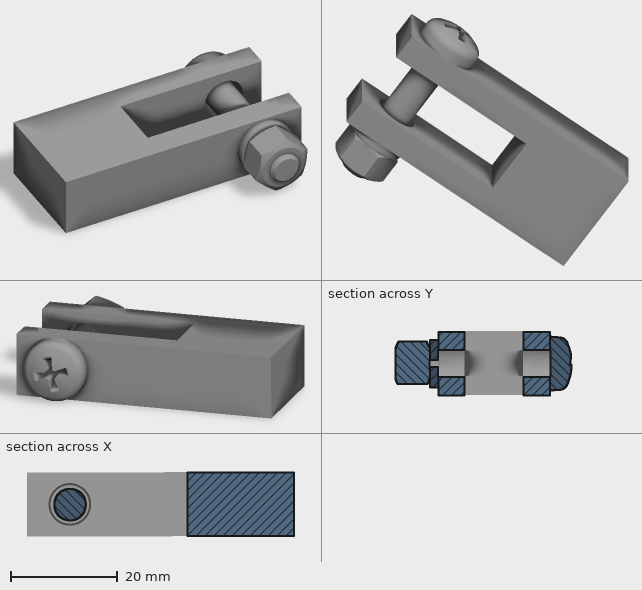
import cadquery as cq
import math

BLOCK_WIDTH = 21.0
BLOCK_LENGTH = 50.0
BLOCK_HEIGHT = 12.0
SLOT_WIDTH = 11.0
SLOT_DEPTH = 30.0
CLEVIS_HOLE_DIAMETER = 8.0
HOLE_TO_FORK_END = 8.0

SHANK_DIAMETER = 6.0
SHANK_LENGTH = 30.0
SHANK_TIP_DIAMETER = 4.92
SHANK_TIP_LENGTH = 0.65
HEAD_RADIUS = 6.0
HEAD_RIM_RADIUS = 5.88
HEAD_HEIGHT = 4.6
DOME_RADIUS = 10.0
HEAD_EDGE_RADIUS = 1.87

RECESS_RADIUS = 3.6
RECESS_LIP_RADIUS = 0.4
RECESS_FLOOR_RADIUS = 2.3
RECESS_FLOOR_RISE = 1.1
RECESS_WALL_ANGLE = 26.0
WING_ROOT_WIDTH = 1.0
WING_SPREAD = 0.27
WING_DRAFT = 5.5
WING_ROOT_FILLET = 0.4
WING_COUNT = 4
RECESS_ANGLE = -13.5

WASHER_DIAMETER = 11.0
WASHER_HOLE_DIAMETER = 6.4
WASHER_THICKNESS = 1.6

NUT_SIDES = 6
NUT_ACROSS_FLATS = 10.0
NUT_THICKNESS = 6.4
NUT_FACE_DIAMETER = 8.7
NUT_CHAMFER_LENGTH = 0.85
NUT_ANGLE = 18.4

ASSEMBLY_TILT = -0.092

NUT_START = BLOCK_WIDTH + WASHER_THICKNESS


def cylinder_along_x(start, length, diameter):
    return cq.Workplane("YZ", origin=(start, 0, 0)).circle(diameter / 2).extrude(length)


def revolve_about_x(profile):
    """Revolve a closed XY profile, axial along X and radial along Y, about the X axis."""
    return profile.close().revolve(360, (0, 0, 0), (1, 0, 0))


def make_clevis():
    block_center = (BLOCK_WIDTH / 2, HOLE_TO_FORK_END - BLOCK_LENGTH / 2, 0)
    slot_center = (BLOCK_WIDTH / 2, HOLE_TO_FORK_END - SLOT_DEPTH / 2, 0)
    block = cq.Workplane("XY", origin=block_center).box(BLOCK_WIDTH, BLOCK_LENGTH, BLOCK_HEIGHT)
    slot = cq.Workplane("XY", origin=slot_center).box(SLOT_WIDTH, SLOT_DEPTH, BLOCK_HEIGHT)
    return block.cut(slot).cut(cylinder_along_x(0, BLOCK_WIDTH, CLEVIS_HOLE_DIAMETER))


def make_head():
    """Flat-based, slightly tapered head whose rounded rim runs tangentially into a spherical dome."""
    dome_center = DOME_RADIUS - HEAD_HEIGHT
    rim_center_radius = HEAD_RIM_RADIUS - HEAD_EDGE_RADIUS
    rim_to_dome = math.sqrt((DOME_RADIUS - HEAD_EDGE_RADIUS) ** 2 - rim_center_radius ** 2)
    rim_x = dome_center - rim_to_dome
    dome_angle = math.asin(rim_center_radius / (DOME_RADIUS - HEAD_EDGE_RADIUS))
    rim_mid_angle = (dome_angle + math.pi / 2) / 2

    def dome_point(angle):
        return (dome_center - DOME_RADIUS * math.cos(angle), DOME_RADIUS * math.sin(angle))

    rim_mid = (
        rim_x - HEAD_EDGE_RADIUS * math.cos(rim_mid_angle),
        rim_center_radius + HEAD_EDGE_RADIUS * math.sin(rim_mid_angle),
    )
    return revolve_about_x(
        cq.Workplane("XY")
        .moveTo(0, 0)
        .lineTo(0, HEAD_RADIUS)
        .lineTo(rim_x, HEAD_RIM_RADIUS)
        .threePointArc(rim_mid, dome_point(dome_angle))
        .threePointArc(dome_point(dome_angle / 2), dome_point(0))
    )


def make_recess_envelope():
    """Round envelope of the recess: rounded lip on the dome, steep cone, shallow conical floor."""
    dome_center = DOME_RADIUS - HEAD_HEIGHT
    rim_angle = math.asin(RECESS_RADIUS / DOME_RADIUS)
    wall_angle = math.radians(RECESS_WALL_ANGLE)
    lip_end_angle = wall_angle - math.pi / 2
    lip_center_x = dome_center - (DOME_RADIUS - RECESS_LIP_RADIUS) * math.cos(rim_angle)
    lip_center_radius = (DOME_RADIUS - RECESS_LIP_RADIUS) * math.sin(rim_angle)

    def lip_point(angle):
        return (
            lip_center_x - RECESS_LIP_RADIUS * math.cos(angle),
            lip_center_radius + RECESS_LIP_RADIUS * math.sin(angle),
        )

    wall_top_x, wall_top_radius = lip_point(lip_end_angle)
    floor_x = wall_top_x + (wall_top_radius - RECESS_FLOOR_RADIUS) / math.tan(wall_angle)
    return revolve_about_x(
        cq.Workplane("XY")
        .moveTo(-HEAD_HEIGHT, 0)
        .lineTo(-HEAD_HEIGHT, RECESS_RADIUS)
        .lineTo(*lip_point(rim_angle))
        .threePointArc(lip_point((rim_angle + lip_end_angle) / 2), (wall_top_x, wall_top_radius))
        .lineTo(floor_x, RECESS_FLOOR_RADIUS)
        .lineTo(floor_x + RECESS_FLOOR_RISE, 0)
    )


def make_cross_recess():
    """Four drafted wings that widen outwards, trimmed by the round envelope."""
    root_corner = WING_ROOT_WIDTH / (2 - WING_SPREAD)
    tip_half_width = (WING_ROOT_WIDTH + WING_SPREAD * HEAD_RADIUS) / 2
    outline = []
    for index in range(WING_COUNT):
        turn = 2 * math.pi * index / WING_COUNT
        for along, across in (
            (root_corner, -root_corner),
            (HEAD_RADIUS, -tip_half_width),
            (HEAD_RADIUS, tip_half_width),
        ):
            outline.append((
                along * math.cos(turn) - across * math.sin(turn),
                along * math.sin(turn) + across * math.cos(turn),
            ))
    root_zone = cq.selectors.BoxSelector(
        (-WING_ROOT_WIDTH, -WING_ROOT_WIDTH, -WING_ROOT_WIDTH),
        (WING_ROOT_WIDTH, WING_ROOT_WIDTH, WING_ROOT_WIDTH),
    )
    outline.append(outline[0])
    cross_sketch = cq.Sketch().polygon(outline).vertices(root_zone).fillet(WING_ROOT_FILLET)
    cross = (
        cq.Workplane("YZ", origin=(-HEAD_HEIGHT, 0, 0))
        .placeSketch(cross_sketch)
        .extrude(HEAD_HEIGHT, taper=WING_DRAFT)
    )
    return cross.intersect(make_recess_envelope()).rotate((0, 0, 0), (1, 0, 0), RECESS_ANGLE)


def make_screw():
    shank_radius = SHANK_DIAMETER / 2
    shank = revolve_about_x(
        cq.Workplane("XY")
        .moveTo(0, 0)
        .lineTo(0, shank_radius)
        .lineTo(SHANK_LENGTH - SHANK_TIP_LENGTH, shank_radius)
        .lineTo(SHANK_LENGTH, SHANK_TIP_DIAMETER / 2)
        .lineTo(SHANK_LENGTH, 0)
    )
    return make_head().union(shank).cut(make_cross_recess())


def make_washer():
    washer = cylinder_along_x(BLOCK_WIDTH, WASHER_THICKNESS, WASHER_DIAMETER)
    return washer.cut(cylinder_along_x(BLOCK_WIDTH, WASHER_THICKNESS, WASHER_HOLE_DIAMETER))


def make_nut():
    """Hexagon with both faces chamfered conically."""
    corner_radius = NUT_ACROSS_FLATS / 2 / math.cos(math.pi / NUT_SIDES)
    face_radius = NUT_FACE_DIAMETER / 2
    nut_end = NUT_START + NUT_THICKNESS
    hexagon = (
        cq.Workplane("YZ", origin=(NUT_START, 0, 0))
        .polygon(NUT_SIDES, 2 * corner_radius)
        .extrude(NUT_THICKNESS)
        .rotate((0, 0, 0), (1, 0, 0), NUT_ANGLE)
    )
    envelope = revolve_about_x(
        cq.Workplane("XY")
        .moveTo(NUT_START, 0)
        .lineTo(NUT_START, face_radius)
        .lineTo(NUT_START + NUT_CHAMFER_LENGTH, corner_radius)
        .lineTo(nut_end - NUT_CHAMFER_LENGTH, corner_radius)
        .lineTo(nut_end, face_radius)
        .lineTo(nut_end, 0)
    )
    return hexagon.intersect(envelope).cut(cylinder_along_x(NUT_START, NUT_THICKNESS, SHANK_DIAMETER))


def lean(body):
    return body.rotate((0, 0, 0), (1, 0, 0), ASSEMBLY_TILT).solids()


clevis = lean(make_clevis())
screw = lean(make_screw())
washer = lean(make_washer())
nut = lean(make_nut())

result = cq.Compound.makeCompound([clevis.val(), screw.val(), washer.val(), nut.val()])